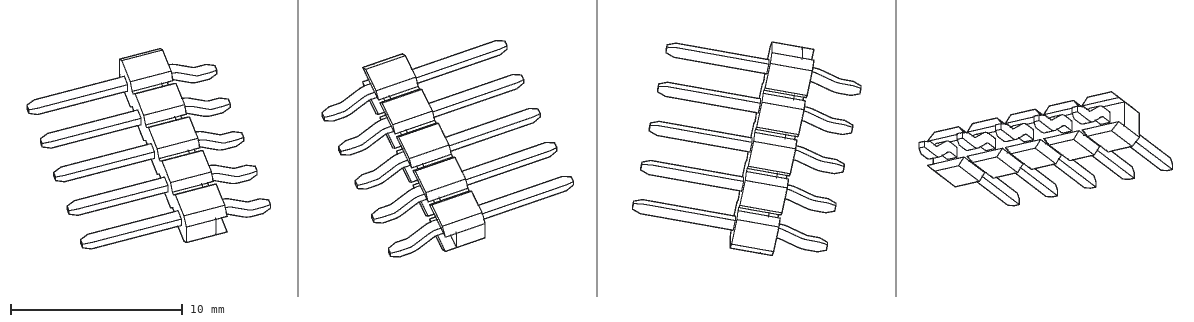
import cadquery as cq
import math

pin_count = 5
pitch = 2.54
row_length = pin_count * pitch

body_depth = 2.5
body_height = 2.5
bevel_height = 0.48
notch_floor = 0.2
notch_flank = 0.36
channel_depth = 0.7

pin_width = 0.64
tip_width = 0.36
tip_length = 0.5
front_reach = 6.0
rear_reach = 3.0
bend_angle = math.radians(35)
bend_inner_radius = 0.3
bend_outer_radius = bend_inner_radius + pin_width
bend_end_gap = 0.12

body_front = -body_depth / 2
body_rear = body_depth / 2
pin_front = body_front - front_reach
pin_rear = body_rear + rear_reach
tail_drop = (body_height - pin_width) / 2


def make_body():
    half_height = body_height / 2
    block = (
        cq.Workplane("XY")
        .box(row_length, body_depth, body_height)
        .edges("|Y")
        .chamfer(bevel_height)
    )
    floor_half = notch_floor / 2
    mouth_half = floor_half + notch_flank
    for gap in range(1, pin_count):
        x = gap * pitch - row_length / 2
        for side in (-1, 1):
            notch = (
                cq.Workplane("XZ", origin=(x, body_rear, 0))
                .moveTo(-mouth_half, side * half_height)
                .lineTo(-floor_half, side * (half_height - bevel_height))
                .lineTo(floor_half, side * (half_height - bevel_height))
                .lineTo(mouth_half, side * half_height)
                .close()
                .extrude(body_depth)
            )
            block = block.cut(notch)
    channel = cq.Workplane("XY").box(row_length, channel_depth, body_height - 2 * bevel_height)
    return block.cut(channel.translate((0, body_rear - channel_depth / 2, 0)))


def make_tip(y, z, direction):
    """Tapered pin end starting at (y, z) and pointing along +Y (1) or -Y (-1)."""
    return (
        cq.Workplane(cq.Plane(origin=(0, y, z), xDir=(1, 0, 0), normal=(0, direction, 0)))
        .rect(pin_width, pin_width)
        .workplane(offset=tip_length)
        .rect(tip_width, tip_width)
        .loft(ruled=True)
    )


def bend_point(center, radius, angle, side):
    """Point on a bend, swept by angle from its top (side 1) or bottom (side -1)."""
    return (
        center[0] + side * radius * math.sin(angle),
        center[1] + side * radius * math.cos(angle),
    )


def make_pin():
    half = pin_width / 2
    shank_front = pin_front + tip_length
    tail_end = pin_rear - tip_length

    radius_sum = bend_inner_radius + bend_outer_radius
    slope_drop = tail_drop - radius_sum * (1 - math.cos(bend_angle))
    slope_run = slope_drop / math.tan(bend_angle)
    upper_y = body_rear + bend_end_gap
    lower_y = upper_y + slope_run + radius_sum * math.sin(bend_angle)
    upper_center = (upper_y, half - bend_outer_radius)
    lower_center = (lower_y, -tail_drop - half + bend_outer_radius)

    def upper(radius, angle):
        return bend_point(upper_center, radius, angle, 1)

    def lower(radius, angle):
        return bend_point(lower_center, radius, angle, -1)

    half_bend = bend_angle / 2
    shank = (
        cq.Workplane("YZ", origin=(-half, 0, 0))
        .moveTo(shank_front, half)
        .lineTo(*upper(bend_outer_radius, 0))
        .threePointArc(upper(bend_outer_radius, half_bend), upper(bend_outer_radius, bend_angle))
        .lineTo(*lower(bend_inner_radius, bend_angle))
        .threePointArc(lower(bend_inner_radius, half_bend), lower(bend_inner_radius, 0))
        .lineTo(tail_end, half - tail_drop)
        .lineTo(tail_end, -half - tail_drop)
        .lineTo(*lower(bend_outer_radius, 0))
        .threePointArc(lower(bend_outer_radius, half_bend), lower(bend_outer_radius, bend_angle))
        .lineTo(*upper(bend_inner_radius, bend_angle))
        .threePointArc(upper(bend_inner_radius, half_bend), upper(bend_inner_radius, 0))
        .lineTo(shank_front, -half)
        .close()
        .extrude(pin_width)
    )
    return shank.union(make_tip(shank_front, 0, -1)).union(make_tip(tail_end, -tail_drop, 1))


result = make_body()
pin = make_pin()
for index in range(pin_count):
    pin_x = (index - (pin_count - 1) / 2) * pitch
    result = result.union(pin.translate((pin_x, 0, 0)))